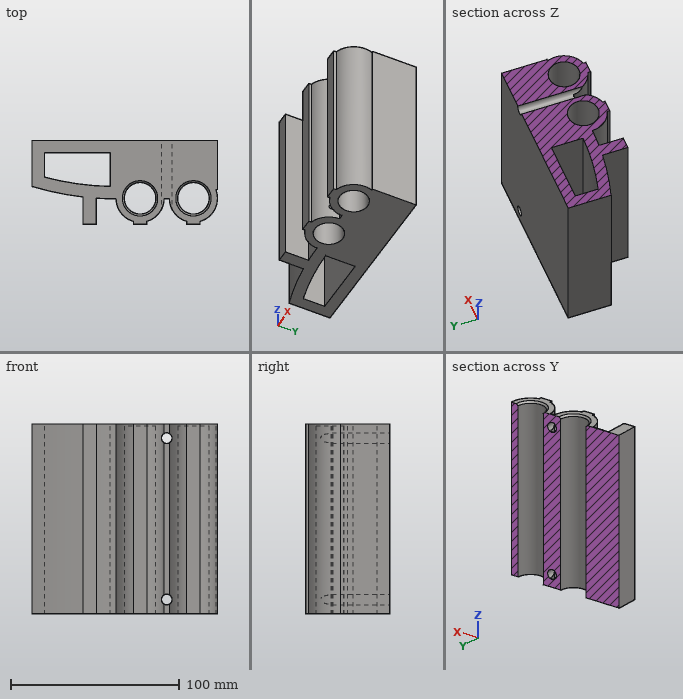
import cadquery as cq
import math

length = 110.4
height = 113.0
depth = 50.0
wall = 7.5

bore_diameter = 18.63
tube_wall = 5.05
tube_radius = bore_diameter / 2 + tube_wall
tube_gap = 3
tube_y = -34.5
bore_chamfer = 1.2
right_tube_x = length - tube_radius
left_tube_x = right_tube_x - 2 * tube_radius - tube_gap
tube_centres = [(left_tube_x, tube_y), (right_tube_x, tube_y)]

left_side_depth = 27.5
front_y = -34.9
arc_end_x = left_tube_x - tube_radius
arc_drop = -left_side_depth - front_y
arc_radius = (arc_end_x**2 + arc_drop**2) / (2 * arc_drop)
arc_centre_y = front_y + arc_radius

right_side_depth = 29.3

pocket_right_x = 46.5

foot_width = 8.0
fin_left_x = 30.3

cross_hole_diameter = 6.2
cross_hole_inset = 8.5
cross_hole_x = (left_tube_x + right_tube_x) / 2


def arc_y(x, radius):
    """Y position at x on a front-wall arc of the given radius."""
    return arc_centre_y - math.sqrt(radius**2 - (arc_end_x - x) ** 2)


def make_body():
    middle_x = arc_end_x / 2
    return (
        cq.Workplane("XY")
        .moveTo(0, 0)
        .lineTo(0, -left_side_depth)
        .threePointArc((middle_x, arc_y(middle_x, arc_radius)), (arc_end_x, front_y))
        .lineTo(right_tube_x, front_y)
        .lineTo(right_tube_x, -right_side_depth)
        .lineTo(length, -right_side_depth)
        .lineTo(length, 0)
        .close()
        .extrude(height)
    )


def make_pocket():
    inner_radius = arc_radius - wall
    middle_x = (wall + pocket_right_x) / 2
    return (
        cq.Workplane("XY")
        .moveTo(wall, -wall)
        .lineTo(wall, arc_y(wall, inner_radius))
        .threePointArc(
            (middle_x, arc_y(middle_x, inner_radius)),
            (pocket_right_x, arc_y(pocket_right_x, inner_radius)),
        )
        .lineTo(pocket_right_x, -wall)
        .close()
        .extrude(height)
    )


def make_foot(left_x, top_y):
    """Straight strip of foot width reaching from top_y to the front plane."""
    return (
        cq.Workplane("XY", origin=(left_x, -depth, 0))
        .rect(foot_width, depth + top_y, centered=False)
        .extrude(height)
    )


def make_tubes():
    return cq.Workplane("XY").pushPoints(tube_centres).circle(tube_radius).extrude(height)


def make_bores():
    """Through bores, each widened by a chamfer at the upper end."""
    bore_radius = bore_diameter / 2
    bores = cq.Workplane("XY").pushPoints(tube_centres).circle(bore_radius).extrude(height)
    for x, y in tube_centres:
        cone = cq.Solid.makeCone(
            bore_radius,
            bore_radius + bore_chamfer,
            bore_chamfer,
            pnt=cq.Vector(x, y, height - bore_chamfer),
        )
        bores = bores.union(cq.Workplane(cone))
    return bores


def make_cross_holes():
    hole_centres = [
        (cross_hole_x, cross_hole_inset),
        (cross_hole_x, height - cross_hole_inset),
    ]
    return (
        cq.Workplane("XZ")
        .pushPoints(hole_centres)
        .circle(cross_hole_diameter / 2)
        .extrude(depth)
    )


result = make_body().union(make_tubes())
result = result.union(make_foot(fin_left_x, -left_side_depth))
for centre_x, centre_y in tube_centres:
    result = result.union(make_foot(centre_x - foot_width / 2, centre_y))
result = result.cut(make_pocket()).cut(make_bores()).cut(make_cross_holes())